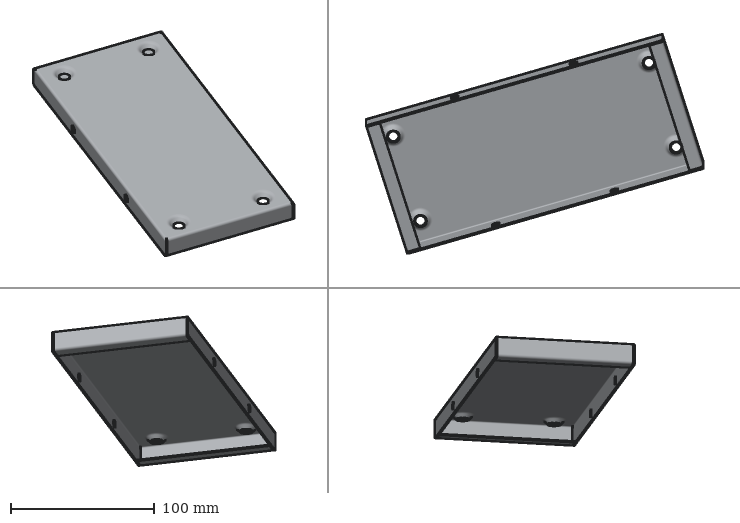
import cadquery as cq
import math

length = 216.0
width = 99.0
height = 15.0
sheet = 1.0
bend_radius = 2.0
inner_bend_radius = bend_radius - sheet
lip_depth = 10.0
corner_gap = 0.2

screw_spacing_x = 186.2
screw_spacing_y = 65.0
dimple_diameter = 17.3
dimple_depth = 3.5
dimple_bend_radius = 3.7
dimple_angle = math.radians(45)

cross_spacing = 86.5
cross_diameter = 5.5
cross_height = 6.0


def make_shell():
    """Cover closed on its top and four walls, with a lip folded under each end."""
    outside = (
        cq.Workplane("XY")
        .box(length, width, height, centered=(True, True, False))
        .edges(">Z or (<Z and |Y)")
        .fillet(bend_radius)
    )
    inside = (
        cq.Workplane("XY", origin=(0, 0, sheet))
        .box(length - 2 * sheet, width - 2 * sheet, height - 2 * sheet, centered=(True, True, False))
        .edges(">Z or (<Z and |Y)")
        .fillet(inner_bend_radius)
    )
    opening = cq.Workplane("XY").box(
        length - 2 * lip_depth, width - 2 * sheet, bend_radius, centered=(True, True, False)
    )
    return outside.cut(inside).cut(opening)


def make_corner_seam():
    """Cutter at the +X, +Y corner freeing the end wall and its lip from the long wall."""
    gap_y = width / 2 - sheet - corner_gap / 2
    wall_gap = (
        cq.Workplane("XY")
        .box(bend_radius, corner_gap, height, centered=(True, True, False))
        .translate(((length - bend_radius) / 2, gap_y, 0))
    )
    lip_gap = (
        cq.Workplane("XY")
        .box(lip_depth, corner_gap, bend_radius, centered=(True, True, False))
        .translate(((length - lip_depth) / 2, gap_y, 0))
    )
    return wall_gap.union(lip_gap)


def make_dimple():
    """Sheet of one dimple: a bend tangent to the top, then a cone ending square to the sheet."""
    rim = dimple_diameter / 2
    sine = math.sin(dimple_angle)
    cosine = math.cos(dimple_angle)
    centre_z = height - dimple_bend_radius

    def bend_point(radius, angle):
        return (rim - radius * math.sin(angle), centre_z + radius * math.cos(angle))

    under_radius = dimple_bend_radius - sheet
    bend_end = bend_point(dimple_bend_radius, dimple_angle)
    under_bend_end = bend_point(under_radius, dimple_angle)
    cone_length = (dimple_depth - (height - bend_end[1])) / sine
    cone_step = (-cone_length * cosine, -cone_length * sine)

    return (
        cq.Workplane("XZ")
        .moveTo(rim, height)
        .threePointArc(bend_point(dimple_bend_radius, dimple_angle / 2), bend_end)
        .line(*cone_step)
        .lineTo(under_bend_end[0] + cone_step[0], under_bend_end[1] + cone_step[1])
        .lineTo(*under_bend_end)
        .threePointArc(bend_point(under_radius, dimple_angle / 2), (rim, height - sheet))
        .close()
        .revolve(360, (0, 0, 0), (0, 1, 0))
    )


def make_dimple_clearance():
    """Disc of flat top sheet that one dimple replaces."""
    return cq.Workplane("XY", origin=(0, 0, height - sheet)).circle(dimple_diameter / 2).extrude(sheet)


def make_cross_hole():
    """Cutter for one plain hole along Y at X = 0."""
    return (
        cq.Workplane("XZ", origin=(0, 0, cross_height))
        .circle(cross_diameter / 2)
        .extrude(width / 2, both=True)
    )


def add_mirrored(cutter):
    """Cutter repeated across the X and Y centre planes."""
    pair = cutter.union(cutter.mirror("YZ"))
    return pair.union(pair.mirror("XZ"))


result = make_shell().cut(add_mirrored(make_corner_seam()))

for side_x in (-1, 1):
    result = result.cut(make_cross_hole().translate((side_x * cross_spacing / 2, 0, 0)))
    for side_y in (-1, 1):
        place = (side_x * screw_spacing_x / 2, side_y * screw_spacing_y / 2, 0)
        result = result.cut(make_dimple_clearance().translate(place))
        result = result.union(make_dimple().translate(place))